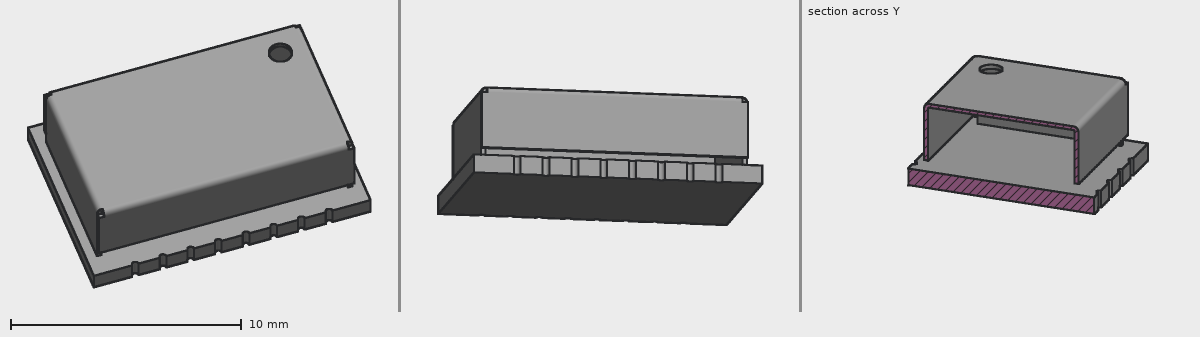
import cadquery as cq

board_width = 8.67
board_length = 12.7
board_thickness = 0.8

contact_count = 8
contact_pitch = 1.27
contact_radius = 0.15

total_height = 4.0
can_width = 7.2
can_length = 11.72
sheet = 0.2
bend_radius = 0.25
side_wall_gap = 0.5

pin_one_diameter = 1.0
pin_one_inset = 1.1

roof_width = can_width - 2 * bend_radius
roof_length = can_length - 2 * bend_radius
inner_bend_radius = bend_radius - sheet
bend_start = total_height - bend_radius
side_wall_bottom = board_thickness + side_wall_gap


def box(width, length, bottom, top):
    """Block centred on the Z axis between two heights."""
    return cq.Workplane("XY").workplane(offset=bottom).rect(width, length).extrude(top - bottom)


def make_board():
    """Flat board with a row of half-round notches in each long edge."""
    first_contact = -contact_pitch * (contact_count - 1) / 2
    centers = [
        (side * board_width / 2, first_contact + i * contact_pitch)
        for side in (-1, 1)
        for i in range(contact_count)
    ]
    notches = (
        cq.Workplane("XY")
        .pushPoints(centers)
        .circle(contact_radius)
        .extrude(board_thickness)
    )
    return box(board_width, board_length, 0, board_thickness).cut(notches)


def make_channel(plane, span, depth, bottom):
    """Roof strip bent down at both ends: a U of sheet, span wide and depth deep."""
    height = total_height - bottom
    outer = (
        cq.Workplane(plane)
        .center(0, bottom + height / 2)
        .rect(span, height)
        .extrude(depth / 2, both=True)
    )
    inner = (
        cq.Workplane(plane)
        .center(0, bottom + (height - sheet) / 2)
        .rect(span - 2 * sheet, height - sheet)
        .extrude(depth / 2, both=True)
    )
    along = "|Y" if plane == "XZ" else "|X"
    outer = outer.edges(along + " and >Z").fillet(bend_radius)
    inner = inner.edges(along + " and >Z").fillet(inner_bend_radius)
    return outer.cut(inner)


def make_side_wall_ends():
    """Straight parts of the side walls, running the full length of the can below the bends."""
    outer = box(can_width, can_length, side_wall_bottom, bend_start)
    return outer.cut(box(can_width - 2 * sheet, can_length, side_wall_bottom, bend_start))


def make_can():
    """Shield can with open corners; its end walls stand on the board."""
    end_walls = make_channel("YZ", can_length, roof_width, board_thickness)
    side_walls = make_channel("XZ", can_width, roof_length, side_wall_bottom)
    return end_walls.union(side_walls).union(make_side_wall_ends())


def make_pin_one_hole():
    """Round hole through the roof sheet near the corner at -X, +Y."""
    return (
        cq.Workplane("XY")
        .workplane(offset=total_height - sheet)
        .center(-roof_width / 2 + pin_one_inset, roof_length / 2 - pin_one_inset)
        .circle(pin_one_diameter / 2)
        .extrude(sheet)
    )


result = make_board().union(make_can()).cut(make_pin_one_hole())